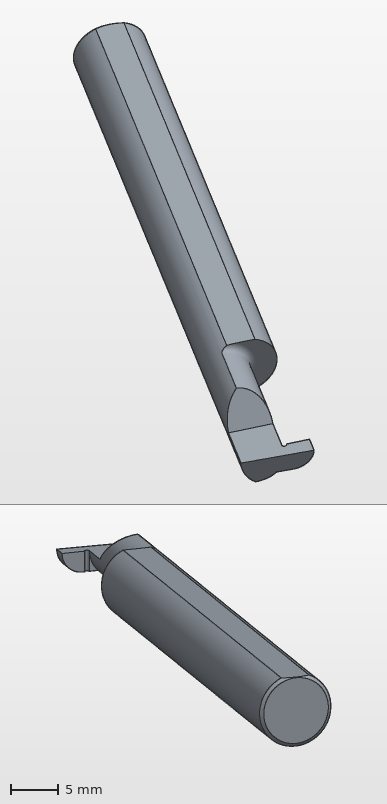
import cadquery as cq
import math

length = 63.5
shank_radius = 4.0
flat_height = 3.7
shank_length = 49.4
chamfer_length = 0.25
chamfer_depth = 0.4

neck_radius = 3.25
neck_edge_y = 0.9
neck_axis_y = neck_edge_y - neck_radius
neck_axis_z = 0.05
neck_fillet = 0.75

ramp_start_x = 55.5
ramp_end_x = 58.5
finger_back_x = 61.8
finger_tip_y = 3.95
clearance_radius = 2.3
root_radius = 0.25
end_slant = 0.3


def make_stock():
    """Round bar with a chamfered rear end and a flat along the top."""
    bar = cq.Workplane("YZ").circle(shank_radius).extrude(length)
    bar = bar.faces("<X").chamfer(chamfer_length, chamfer_depth)
    above_flat = cq.Workplane("XY").workplane(offset=flat_height).rect(
        3 * length, 4 * shank_radius
    ).extrude(shank_radius)
    return bar.cut(above_flat)


def make_neck_envelope():
    """Offset cylinder that flares out with a fillet where it meets the shank."""
    flare_radius = neck_radius + neck_fillet
    flare_end = shank_length + neck_fillet
    arc_offset = neck_fillet * (1 - math.sqrt(0.5))
    return (
        cq.Workplane("XY", origin=(0, neck_axis_y, neck_axis_z))
        .moveTo(shank_length, 0)
        .lineTo(shank_length, flare_radius)
        .threePointArc(
            (shank_length + arc_offset, neck_radius + arc_offset),
            (flare_end, neck_radius),
        )
        .lineTo(length, neck_radius)
        .lineTo(length, 0)
        .close()
        .revolve(360, (0, 0, 0), (1, 0, 0))
    )


def make_finger():
    """Side cutting finger, rounded underneath to clear the bore."""
    finger_length = length - finger_back_x
    return (
        cq.Workplane("YZ", origin=(finger_back_x, 0, 0))
        .moveTo(neck_axis_y, 0)
        .lineTo(finger_tip_y, 0)
        .radiusArc((finger_tip_y - clearance_radius, -clearance_radius), clearance_radius)
        .lineTo(neck_axis_y, -clearance_radius)
        .close()
        .extrude(finger_length)
    )


def make_ramp_cut():
    """Material above the ramp and the rake face."""
    return (
        cq.Workplane("XZ")
        .moveTo(ramp_end_x, 0)
        .lineTo(length, 0)
        .lineTo(length, 2 * shank_radius)
        .lineTo(ramp_start_x, 2 * shank_radius)
        .lineTo(ramp_start_x, neck_axis_z + neck_radius)
        .close()
        .extrude(2 * shank_radius, both=True)
    )


def make_root_relief():
    """Round relief in the corner between the finger and the neck."""
    return (
        cq.Workplane("XY", origin=(finger_back_x, neck_edge_y + root_radius, 0))
        .circle(root_radius)
        .extrude(-shank_radius)
    )


def make_end_cut():
    """Wedge that slants the front face back from the finger tip."""
    return (
        cq.Workplane("XY")
        .moveTo(length, finger_tip_y)
        .lineTo(length, -shank_radius)
        .lineTo(length - end_slant, -shank_radius)
        .close()
        .extrude(2 * shank_radius, both=True)
    )


stock = make_stock()
front_box = cq.Workplane("YZ", origin=(shank_length, 0, 0)).rect(
    4 * shank_radius, 4 * shank_radius
).extrude(length - shank_length)
shank = stock.cut(front_box)
neck = stock.intersect(make_neck_envelope())

result = (
    shank.union(neck)
    .cut(make_ramp_cut())
    .union(make_finger())
    .cut(make_root_relief())
    .cut(make_end_cut())
)